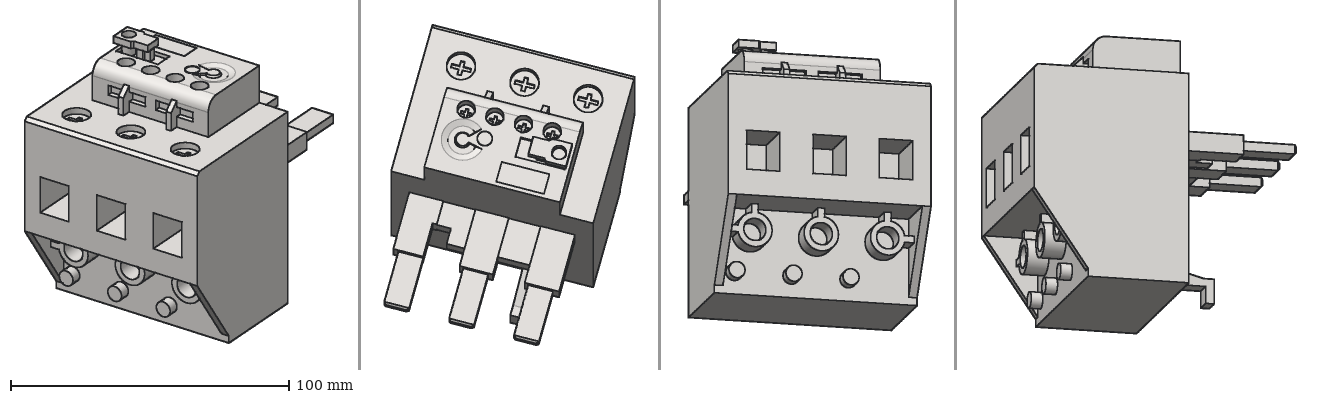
import cadquery as cq
import math


HOUSING_WIDTH = 75.3
HOUSING_DEPTH = 57.5
HOUSING_HEIGHT = 77.8
FRONT_CHAMFER = 1.4
SLOPE_TOP = 31.9
SLOPE_BOTTOM = 2.9
FOOT_DEPTH = 37.4
SIDE_WALL = 3.2

PHASE_PITCH = 24.7
WINDOW_WIDTH = 12.4
WINDOW_BOTTOM = 41.3
WINDOW_HEIGHT = 14.5
WINDOW_DEPTH = 20.0

SLEEVE_Z = 22.4
SLEEVE_RADIUS = 6.4
SLEEVE_BORE_RADIUS = 4.1
SLEEVE_RIB = 2.5
SLEEVE_LENGTH = 8.0
PIN_RADIUS = 3.0
PIN_LENGTH = 4.3
PIN_Z = 8.0
PIN_XS = [-30.4, -9.2, 12.0]

TERMINAL_SCREW_PITCH = 23.7
TERMINAL_SCREW_Y = -44.8
TERMINAL_HOLE_RADIUS = 5.2
TERMINAL_HOLE_DEPTH = 2.5
TERMINAL_CROSS = (7.2, 5.2, 1.4)

HEAD_WIDTH = 50.5
HEAD_DEPTH = 32.5
HEAD_TOP = 92.9
HEAD_FRONT_RADIUS = 5.0
NOTCH_WIDTH = 16.2
NOTCH_BOTTOM = 82.0
NOTCH_TOP = 85.9
NOTCH_DEPTH = 2.2
POST_X = 10.4
POST_WIDTH = 2.2
POST_REACH = 3.6
POST_TOP = 88.4
POST_SHOULDER = 85.0

ADJUST_SCREW_PITCH = 10.7
ADJUST_SCREW_MIDDLE_X = 0.4
ADJUST_SCREW_COUNT = 4
ADJUST_SCREW_Y = -25.1
ADJUST_HOLE_RADIUS = 3.2
ADJUST_HOLE_DEPTH = 5.0
ADJUST_CROSS = (4.0, 3.4, 1.0)
CROSS_DEPTH = 1.0

DIAL_X = 14.7
DIAL_Y = -13.8
DIAL_RADIUS = 7.8
DIAL_FLOOR_RADIUS = 5.3
DIAL_HUB_RADIUS = 2.9
DIAL_HUB_TOP_RADIUS = 2.4
DIAL_DEPTH = 0.8
DIAL_START_ANGLE = 225.0
DIAL_SWEEP = 302.0

LABEL_SIZE = (17.8, 7.7)
LABEL_CENTER = (-10.0, -5.4)
LABEL_DEPTH = 0.1
TEST_BUTTON_X = 7.1
TEST_BUTTON_RADIUS = 2.7
TEST_BUTTON_DEPTH = 0.3

SLIDE_Y = -16.2
SLIDE_LEFT = -24.3
SLIDE_RIGHT = -10.0
SLIDE_SHOULDER_X = -16.8
SLIDE_WIDE = 8.8
SLIDE_NARROW = 6.8
SLIDE_SHOULDER_LENGTH = 0.7
SLIDE_BOTTOM = 96.2
SLIDE_THICKNESS = 2.8
SLIDE_HOLE_RADIUS = 2.6
SLIDE_FOOT_LEFT = -15.4
SLIDE_FOOT_LENGTH = 2.6
SLIDE_FOOT_WIDTH = 5.0
SLIDE_TOE_LENGTH = 2.5
SLIDE_TOE_WIDTH = 2.5
POCKET_LEFT = -23.6
POCKET_RIGHT = -5.3
POCKET_WIDTH = 7.6
POCKET_DEPTH = 1.5
RESET_BUTTON_X = -20.6
RESET_BUTTON_RADIUS = 2.5

BAR_PITCH = 24.2
BAR_MIDDLE_X = 0.2
BAR_WIDTH = 9.3
BAR_HEIGHT = 3.5
BAR_REACH = 42.3
BAR_CHAMFER = 0.8
BAR_Z = 54.4
BLOCK_REACH = 22.1
BLOCK_HEIGHT = 7.2
BLOCK_SPANS = [(-30.9, -18.1), (-6.2, 6.2), (19.8, 30.9)]
WEB_HEIGHT = 6.0
WEB_LEFT = -18.1
WEB_STEP_X = 12.9
WEB_REACH = 15.1
WEB_LOW_REACH = 9.1
SPACER_LEFT = 18.2

HOOK_LEFT = -20.2
HOOK_WIDTH = 7.4
HOOK_REACH = 22.5
HOOK_TIP_THICKNESS = 3.2
HOOK_TIP_BOTTOM = 6.3
HOOK_TIP_TOP = 15.5
HOOK_SLOPE_START = 18.6
HOOK_ARM_BOTTOM = 12.6
HOOK_ROOT_TOP = 20.4


def box(x_span, y_span, z_span):
    """Rectangular block between the given (low, high) limits."""
    size = [high - low for low, high in (x_span, y_span, z_span)]
    corner = (x_span[0], y_span[0], z_span[0])
    return cq.Workplane("XY").box(*size, centered=False).translate(corner)


def span(center, width):
    """(low, high) limits of a width centred on a position."""
    return (center - width / 2, center + width / 2)


def side_profile(points, x_span):
    """Outline of (Y, Z) points extruded across the given X limits."""
    outline = cq.Workplane("YZ").workplane(offset=x_span[0]).polyline(points).close()
    return outline.extrude(x_span[1] - x_span[0])


def upright_cylinder(x, y, radius, bottom, top):
    return cq.Workplane("XY").workplane(offset=bottom).center(x, y).circle(radius).extrude(top - bottom)


def front_cylinder(x, z, radius, y_span):
    """Cylinder along Y between the given limits."""
    sketch = cq.Workplane("XZ", origin=(x, y_span[1], z)).circle(radius)
    return sketch.extrude(y_span[1] - y_span[0])


def housing_block():
    """Main block with a chamfered front edge, a sloped lower front and a recess between side walls."""
    half_width = HOUSING_WIDTH / 2
    block = side_profile(
        [
            (0, 0),
            (-FOOT_DEPTH, 0),
            (-FOOT_DEPTH, SLOPE_BOTTOM),
            (-HOUSING_DEPTH, SLOPE_TOP),
            (-HOUSING_DEPTH, HOUSING_HEIGHT - FRONT_CHAMFER),
            (-HOUSING_DEPTH + FRONT_CHAMFER, HOUSING_HEIGHT),
            (0, HOUSING_HEIGHT),
        ],
        (-half_width, half_width),
    )
    recess_width = HOUSING_WIDTH - 2 * SIDE_WALL
    return block.cut(box(span(0, recess_width), (-HOUSING_DEPTH, -FOOT_DEPTH), (0, SLOPE_TOP)))


def cable_window(x):
    return box(
        span(x, WINDOW_WIDTH),
        (-HOUSING_DEPTH, -HOUSING_DEPTH + WINDOW_DEPTH),
        (WINDOW_BOTTOM, WINDOW_BOTTOM + WINDOW_HEIGHT),
    )


def ring_sleeve(x):
    """Sleeve out of the recess wall ribbed to the recess ceiling and, at the sides, to the side wall."""
    y_span = (-FOOT_DEPTH - SLEEVE_LENGTH, -FOOT_DEPTH)
    sleeve = front_cylinder(x, SLEEVE_Z, SLEEVE_RADIUS, y_span)
    sleeve = sleeve.union(box(span(x, SLEEVE_RIB), y_span, (SLEEVE_Z, SLOPE_TOP)))
    if x != 0:
        wall_x = math.copysign(HOUSING_WIDTH / 2 - SIDE_WALL, x)
        rib_x = (min(x, wall_x), max(x, wall_x))
        sleeve = sleeve.union(box(rib_x, y_span, span(SLEEVE_Z, SLEEVE_RIB)))
    return sleeve.cut(front_cylinder(x, SLEEVE_Z, SLEEVE_BORE_RADIUS, y_span))


def recess_pin(x):
    return front_cylinder(x, PIN_Z, PIN_RADIUS, (-FOOT_DEPTH - PIN_LENGTH, -FOOT_DEPTH))


def screw_hole(x, y, top, radius, depth, cross):
    """Round hole down to a screw head with a cross recess."""
    cross_length, cross_height, slot_width = cross
    head_top = top - depth
    slot_z = (head_top - CROSS_DEPTH, head_top)
    hole = upright_cylinder(x, y, radius, head_top, top)
    hole = hole.union(box(span(x, cross_length), span(y, slot_width), slot_z))
    return hole.union(box(span(x, slot_width), span(y, cross_height), slot_z))


def terminal_screw_hole(x):
    return screw_hole(
        x, TERMINAL_SCREW_Y, HOUSING_HEIGHT, TERMINAL_HOLE_RADIUS, TERMINAL_HOLE_DEPTH, TERMINAL_CROSS
    )


def adjust_screw_hole(x):
    return screw_hole(x, ADJUST_SCREW_Y, HEAD_TOP, ADJUST_HOLE_RADIUS, ADJUST_HOLE_DEPTH, ADJUST_CROSS)


def control_head():
    """Upper block with a rounded front top edge."""
    block = box(span(0, HEAD_WIDTH), (-HEAD_DEPTH, 0), (HOUSING_HEIGHT, HEAD_TOP))
    return block.edges("<Y and >Z").fillet(HEAD_FRONT_RADIUS)


def head_notch(x):
    return box(span(x, NOTCH_WIDTH), (-HEAD_DEPTH, -HEAD_DEPTH + NOTCH_DEPTH), (NOTCH_BOTTOM, NOTCH_TOP))


def head_post(x):
    """Thin post on the head's front face, rooted at the back of its notch, with a sloped top."""
    root_y = -HEAD_DEPTH + NOTCH_DEPTH
    front_y = -HEAD_DEPTH - POST_REACH
    return side_profile(
        [
            (root_y, HOUSING_HEIGHT),
            (front_y, HOUSING_HEIGHT),
            (front_y, POST_SHOULDER),
            (-HEAD_DEPTH, POST_TOP),
            (root_y, POST_TOP),
        ],
        span(x, POST_WIDTH),
    )


def dial_dish():
    """Shallow dish around a tapered hub, with a level pointer sector left between its two ends."""
    profile = (
        cq.Workplane("XZ")
        .moveTo(DIAL_HUB_TOP_RADIUS, 0)
        .lineTo(DIAL_HUB_RADIUS, -DIAL_DEPTH)
        .lineTo(DIAL_FLOOR_RADIUS, -DIAL_DEPTH)
        .lineTo(DIAL_RADIUS, 0)
        .close()
    )
    dish = profile.revolve(DIAL_SWEEP, (0, 0, 0), (0, 1, 0))
    dish = dish.rotate((0, 0, 0), (0, 0, 1), DIAL_START_ANGLE)
    return dish.translate((DIAL_X, DIAL_Y, HEAD_TOP))


def label_recess():
    label_x, label_y = LABEL_CENTER
    length, height = LABEL_SIZE
    return box(span(label_x, length), span(label_y, height), (HEAD_TOP - LABEL_DEPTH, HEAD_TOP))


def test_button_recess():
    return upright_cylinder(
        TEST_BUTTON_X, SLIDE_Y, TEST_BUTTON_RADIUS, HEAD_TOP - TEST_BUTTON_DEPTH, HEAD_TOP
    )


def slide_pocket():
    return box((POCKET_LEFT, POCKET_RIGHT), span(SLIDE_Y, POCKET_WIDTH), (HEAD_TOP - POCKET_DEPTH, HEAD_TOP))


def reset_button():
    """Round button from the pocket floor up to the underside of the slide's plate."""
    return upright_cylinder(
        RESET_BUTTON_X, SLIDE_Y, RESET_BUTTON_RADIUS, HEAD_TOP - POCKET_DEPTH, SLIDE_BOTTOM
    )


def contact_bar(x):
    """Flat bar out of the rear face, chamfered all round its end."""
    bar = box(span(x, BAR_WIDTH), (0, BAR_REACH), span(BAR_Z, BAR_HEIGHT))
    return bar.faces(">Y").chamfer(BAR_CHAMFER)


def insulating_blocks():
    """Blocks around the bar roots, joined by a thinner stepped web."""
    block_z = span(BAR_Z, BLOCK_HEIGHT)
    web_z = span(BAR_Z, WEB_HEIGHT)
    blocks = box((WEB_LEFT, WEB_STEP_X), (0, WEB_REACH), web_z)
    blocks = blocks.union(box((WEB_STEP_X, SPACER_LEFT), (0, WEB_LOW_REACH), web_z))
    for block_x in BLOCK_SPANS:
        blocks = blocks.union(box(block_x, (0, BLOCK_REACH), block_z))
    spacer_x = (SPACER_LEFT, BLOCK_SPANS[-1][0])
    return blocks.union(box(spacer_x, (0, WEB_LOW_REACH), block_z))


def rear_hook():
    """Tapered arm out of the rear face with a tip that points down."""
    tip_inner_y = HOOK_REACH - HOOK_TIP_THICKNESS
    return side_profile(
        [
            (0, HOOK_ARM_BOTTOM),
            (tip_inner_y, HOOK_ARM_BOTTOM),
            (tip_inner_y, HOOK_TIP_BOTTOM),
            (HOOK_REACH, HOOK_TIP_BOTTOM),
            (HOOK_REACH, HOOK_TIP_TOP),
            (HOOK_SLOPE_START, HOOK_TIP_TOP),
            (0, HOOK_ROOT_TOP),
        ],
        (HOOK_LEFT, HOOK_LEFT + HOOK_WIDTH),
    )


def make_housing():
    housing = housing_block().union(control_head())
    for side in (-1, 0, 1):
        housing = housing.cut(cable_window(side * PHASE_PITCH))
        housing = housing.union(ring_sleeve(side * PHASE_PITCH))
        housing = housing.cut(terminal_screw_hole(side * TERMINAL_SCREW_PITCH))
        housing = housing.union(contact_bar(BAR_MIDDLE_X + side * BAR_PITCH))
    housing = housing.union(insulating_blocks()).union(rear_hook())
    for x in PIN_XS:
        housing = housing.union(recess_pin(x))
    for x in (-POST_X, POST_X):
        housing = housing.cut(head_notch(x)).union(head_post(x))
    for index in range(ADJUST_SCREW_COUNT):
        steps = index - (ADJUST_SCREW_COUNT - 1) / 2
        screw_x = ADJUST_SCREW_MIDDLE_X + steps * ADJUST_SCREW_PITCH
        housing = housing.cut(adjust_screw_hole(screw_x))
    housing = housing.cut(dial_dish()).cut(label_recess()).cut(test_button_recess())
    return housing.cut(slide_pocket()).union(reset_button())


def make_slide():
    """Stepped plate with a hole over the reset button, on a foot that stands in the pocket."""
    narrow_x = SLIDE_SHOULDER_X + SLIDE_SHOULDER_LENGTH
    plate = (
        cq.Workplane("XY", origin=(0, SLIDE_Y, SLIDE_BOTTOM))
        .moveTo(SLIDE_LEFT, 0)
        .lineTo(SLIDE_LEFT, SLIDE_WIDE / 2)
        .lineTo(SLIDE_SHOULDER_X, SLIDE_WIDE / 2)
        .lineTo(narrow_x, SLIDE_NARROW / 2)
        .lineTo(SLIDE_RIGHT, SLIDE_NARROW / 2)
        .lineTo(SLIDE_RIGHT, 0)
        .mirrorX()
        .extrude(SLIDE_THICKNESS)
    )
    plate_top = SLIDE_BOTTOM + SLIDE_THICKNESS
    plate = plate.cut(
        upright_cylinder(RESET_BUTTON_X, SLIDE_Y, SLIDE_HOLE_RADIUS, SLIDE_BOTTOM, plate_top)
    )
    foot_z = (HEAD_TOP - POCKET_DEPTH, SLIDE_BOTTOM)
    foot_right = SLIDE_FOOT_LEFT + SLIDE_FOOT_LENGTH
    foot = box((SLIDE_FOOT_LEFT, foot_right), span(SLIDE_Y, SLIDE_FOOT_WIDTH), foot_z)
    toe = box((foot_right, foot_right + SLIDE_TOE_LENGTH), span(SLIDE_Y, SLIDE_TOE_WIDTH), foot_z)
    return plate.union(foot).union(toe)


housing = make_housing()
slide = make_slide()

result = cq.Compound.makeCompound([housing.solids().val(), slide.solids().val()])